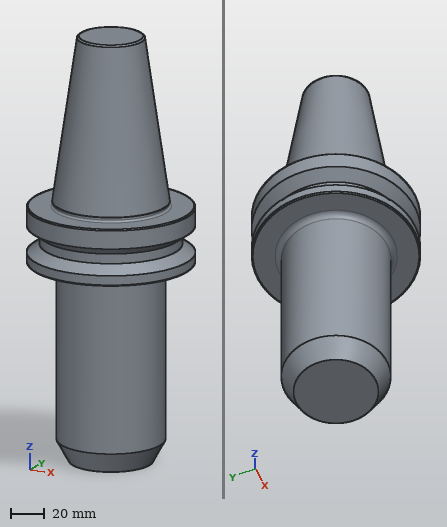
import cadquery as cq

total_height = 261.8
taper_length = 101.8
gauge_z = total_height - taper_length
flange_gap = 3.0
flange_thickness = 35.0
flange_top_z = gauge_z - flange_gap
flange_bottom_z = flange_top_z - flange_thickness

gauge_radius = 70.0 / 2
taper_ratio = 7 / 24
taper_top_radius = gauge_radius - taper_length * taper_ratio / 2
taper_top_chamfer = 1.0
relief_radius = 34.3
relief_fillet = 1.3

flange_radius = 100.0 / 2
flange_chamfer = 0.8
upper_rim_height = 12.0
groove_floor_radius = 42.5
groove_floor_height = 6.0
groove_flank_height = 5.2
groove_top_z = flange_top_z - upper_rim_height
groove_bottom_z = groove_top_z - groove_floor_height - 2 * groove_flank_height

nose_radius = 65.0 / 2
nose_fillet = 3.7
nose_end_radius = 25.1
nose_cone_height = 13.4


def make_nose():
    """Nose cylinder, filleted into the underside of the flange."""
    fillet_start_z = flange_bottom_z - nose_fillet
    outline = (
        cq.Workplane("XZ")
        .lineTo(nose_end_radius, 0)
        .lineTo(nose_radius, nose_cone_height)
        .lineTo(nose_radius, fillet_start_z)
        .radiusArc((nose_radius + nose_fillet, flange_bottom_z), nose_fillet)
        .lineTo(0, flange_bottom_z)
        .close()
    )
    return outline.revolve(360, (0, 0), (0, 1))


def make_flange():
    """Flange disc with chamfered outer edges and the gripper groove."""
    outline = [
        (0, flange_bottom_z),
        (flange_radius - flange_chamfer, flange_bottom_z),
        (flange_radius, flange_bottom_z + flange_chamfer),
        (flange_radius, groove_bottom_z),
        (groove_floor_radius, groove_bottom_z + groove_flank_height),
        (groove_floor_radius, groove_top_z - groove_flank_height),
        (flange_radius, groove_top_z),
        (flange_radius, flange_top_z - flange_chamfer),
        (flange_radius - flange_chamfer, flange_top_z),
        (0, flange_top_z),
    ]
    return cq.Workplane("XZ").polyline(outline).close().revolve(360, (0, 0), (0, 1))


def make_taper():
    """Shank taper with a short filleted relief neck above the flange."""
    outline = (
        cq.Workplane("XZ")
        .moveTo(0, flange_top_z)
        .lineTo(relief_radius + relief_fillet, flange_top_z)
        .radiusArc((relief_radius, flange_top_z + relief_fillet), relief_fillet)
        .lineTo(relief_radius, gauge_z)
        .lineTo(gauge_radius, gauge_z)
        .lineTo(taper_top_radius, total_height)
        .lineTo(0, total_height)
        .close()
    )
    shank = outline.revolve(360, (0, 0), (0, 1))
    return shank.faces(">Z").edges().chamfer(taper_top_chamfer)


result = make_nose().union(make_flange()).union(make_taper())